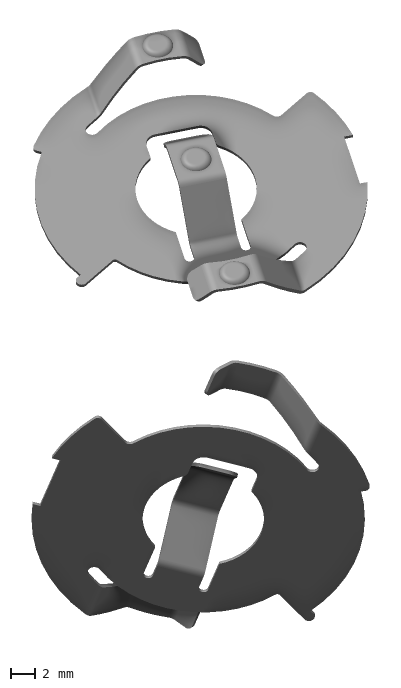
import cadquery as cq
import math

LAYOUT_ANGLE = 30.0

THICKNESS = 0.3
OUTER_RADIUS = 14.145
STEPPED_RADIUS = 13.3
BODY_RADIUS = 10.1
BEYOND = 2 * OUTER_RADIUS

FIN_ANGLE = 34.0
STEP_START_ANGLE = 148.3
STEP_END_ANGLE = 210.0
FIN_TIP_FILLET = 0.4
FIN_ROOT_FILLET = 0.5
HOOK_ROOT_FILLET = 0.25
STEP_CORNER_FILLET = 0.4
HOOK_TIP_FILLET = 0.45

NOTCH_FLOOR = 13.2
NOTCH_TOP = 2.37
NOTCH_BOTTOM = -2.85

SPRING_INNER_RADIUS = 11.2
SLOT_END_ANGLE = 129.0

CONTACT_TOP = 4.0
ROOT_RUN = 6.0
LEG_BEND_RUN = 1.65
TIP_BEND_RUN = 1.71
TIP_RUN = 3.66
LEG_ANGLE = math.radians(45.0)
TIP_ANGLE = math.radians(43.0)
TOP_BEND_RADIUS = 1.0
MIDDLE_TIP_CORNER_RADIUS = 1.0
OUTER_TIP_CORNER_RADIUS = 0.6

MIDDLE_SPRING_WIDTH = 4.0
WINDOW_RADIUS = 5.0
SIDE_SLOT_WIDTH = 0.8
SIDE_SLOT_END = 7.5
SIDE_SLOT_END_FILLET = 0.39
WINDOW_HALF_WIDTH = MIDDLE_SPRING_WIDTH / 2 + SIDE_SLOT_WIDTH
WINDOW_TOP = 6.5
WINDOW_CORNER_RADIUS = 1.0
WINDOW_MOUTH_FILLET = 0.5

BUTTON_RADIUS = 1.27
BUTTON_FLAT_RADIUS = 0.76
BUTTON_HEIGHT = 0.3


def polar(radius, angle):
    turn = math.radians(angle)
    return radius * math.cos(turn), radius * math.sin(turn)


def ring_sector(inner, outer, start, end):
    """Sheet-thick piece of a ring between two angles."""
    middle = (start + end) / 2
    return (
        cq.Workplane("XY")
        .moveTo(*polar(inner, start))
        .lineTo(*polar(outer, start))
        .threePointArc(polar(outer, middle), polar(outer, end))
        .lineTo(*polar(inner, end))
        .threePointArc(polar(inner, middle), polar(inner, start))
        .close()
        .extrude(THICKNESS)
    )


def block(x_min, x_max, y_min, y_max):
    """Sheet-thick rectangle."""
    rectangle = cq.Workplane("XY").box(x_max - x_min, y_max - y_min, THICKNESS, centered=False)
    return rectangle.translate((x_min, y_min, 0))


def half_turn(shape):
    return shape.rotate((0, 0, 0), (0, 0, 1), 180)


def fillet_corner(shape, point, radius):
    """Round the upright edge nearest to a point in plan."""
    corner = cq.NearestToPointSelector((point[0], point[1], THICKNESS / 2))
    return shape.edges("|Z").edges(corner).fillet(radius)


def outer_spring_opening():
    """Open gap around an outer spring, with the round-ended slot beside its root."""
    slot_width = SPRING_INNER_RADIUS - BODY_RADIUS
    gap = ring_sector(BODY_RADIUS, BEYOND, FIN_ANGLE, SLOT_END_ANGLE)
    gap = gap.intersect(block(-ROOT_RUN, BEYOND, 0, BEYOND))
    slot = ring_sector(BODY_RADIUS, SPRING_INNER_RADIUS, FIN_ANGLE, SLOT_END_ANGLE)
    slot_end = (
        cq.Workplane("XY")
        .center(*polar(BODY_RADIUS + slot_width / 2, SLOT_END_ANGLE))
        .circle(slot_width / 2)
        .extrude(THICKNESS)
    )
    return gap.union(slot).union(slot_end)


def window():
    """Opening around the middle spring: circle, upper recess and two side slots."""
    opening = cq.Workplane("XY").circle(WINDOW_RADIUS).extrude(THICKNESS)
    recess = block(-WINDOW_HALF_WIDTH, WINDOW_HALF_WIDTH, 0, WINDOW_TOP)
    recess = recess.edges("|Z and >Y").fillet(WINDOW_CORNER_RADIUS)
    opening = opening.union(recess)
    half_tongue = MIDDLE_SPRING_WIDTH / 2
    tongue = block(-half_tongue, half_tongue, -BEYOND, -ROOT_RUN)
    side_slots = block(-WINDOW_HALF_WIDTH, WINDOW_HALF_WIDTH, -SIDE_SLOT_END, 0).cut(tongue)
    side_slots = side_slots.edges("|Z and <Y").fillet(SIDE_SLOT_END_FILLET)
    return opening.union(side_slots)


def make_plate():
    plate = cq.Workplane("XY").circle(OUTER_RADIUS).extrude(THICKNESS)
    opening = outer_spring_opening()
    plate = plate.cut(opening).cut(half_turn(opening))
    plate = plate.cut(ring_sector(STEPPED_RADIUS, BEYOND, STEP_START_ANGLE, STEP_END_ANGLE))
    plate = plate.cut(block(NOTCH_FLOOR, BEYOND, NOTCH_BOTTOM, NOTCH_TOP))
    plate = plate.cut(window())

    hook_angle = FIN_ANGLE + 180
    mouth_y = math.sqrt(WINDOW_RADIUS**2 - WINDOW_HALF_WIDTH**2)
    rounded_corners = [
        (polar(OUTER_RADIUS, FIN_ANGLE), FIN_TIP_FILLET),
        (polar(BODY_RADIUS, FIN_ANGLE), FIN_ROOT_FILLET),
        (polar(BODY_RADIUS, hook_angle), HOOK_ROOT_FILLET),
        (polar(OUTER_RADIUS, hook_angle), HOOK_TIP_FILLET),
        (polar(OUTER_RADIUS, STEP_END_ANGLE), HOOK_TIP_FILLET),
        (polar(OUTER_RADIUS, STEP_START_ANGLE), STEP_CORNER_FILLET),
        ((WINDOW_HALF_WIDTH, mouth_y), WINDOW_MOUTH_FILLET),
    ]
    for point, radius in rounded_corners:
        plate = fillet_corner(plate, point, radius)
    return plate


def spring_strip(half_width):
    """Bent strip running along X, rising from its root to the flat top and down to its tip."""
    inner_bend = TOP_BEND_RADIUS - THICKNESS
    bend_z = CONTACT_TOP - TOP_BEND_RADIUS
    leg_bend_tangent = math.tan(LEG_ANGLE / 2)
    leg_rise_run = (CONTACT_TOP - THICKNESS) / math.tan(LEG_ANGLE)
    leg_foot = LEG_BEND_RUN + TOP_BEND_RADIUS * leg_bend_tangent + leg_rise_run
    root_upper = (ROOT_RUN - leg_foot) / leg_bend_tangent
    root_lower = root_upper + THICKNESS
    root_z = THICKNESS + root_upper

    def root_bend(radius, angle):
        return -ROOT_RUN + radius * math.sin(angle), root_z - radius * math.cos(angle)

    def leg_bend(radius, angle):
        return -LEG_BEND_RUN - radius * math.sin(angle), bend_z + radius * math.cos(angle)

    def tip_bend(radius, angle):
        return TIP_BEND_RUN + radius * math.sin(angle), bend_z + radius * math.cos(angle)

    tip_bend_end = tip_bend(TOP_BEND_RADIUS, TIP_ANGLE)
    tip_drop = (TIP_RUN - tip_bend_end[0]) * math.tan(TIP_ANGLE)
    tip_upper = (TIP_RUN, tip_bend_end[1] - tip_drop)
    tip_lower = (
        tip_upper[0] - THICKNESS * math.sin(TIP_ANGLE),
        tip_upper[1] - THICKNESS * math.cos(TIP_ANGLE),
    )
    half_leg = LEG_ANGLE / 2
    half_tip = TIP_ANGLE / 2
    return (
        cq.Workplane("XZ")
        .moveTo(-ROOT_RUN, 0)
        .threePointArc(root_bend(root_lower, half_leg), root_bend(root_lower, LEG_ANGLE))
        .lineTo(*leg_bend(inner_bend, LEG_ANGLE))
        .threePointArc(leg_bend(inner_bend, half_leg), leg_bend(inner_bend, 0))
        .lineTo(*tip_bend(inner_bend, 0))
        .threePointArc(tip_bend(inner_bend, half_tip), tip_bend(inner_bend, TIP_ANGLE))
        .lineTo(*tip_lower)
        .lineTo(*tip_upper)
        .lineTo(*tip_bend_end)
        .threePointArc(tip_bend(TOP_BEND_RADIUS, half_tip), tip_bend(TOP_BEND_RADIUS, 0))
        .lineTo(*leg_bend(TOP_BEND_RADIUS, 0))
        .threePointArc(leg_bend(TOP_BEND_RADIUS, half_leg), leg_bend(TOP_BEND_RADIUS, LEG_ANGLE))
        .lineTo(*root_bend(root_upper, LEG_ANGLE))
        .threePointArc(root_bend(root_upper, half_leg), (-ROOT_RUN, THICKNESS))
        .close()
        .extrude(half_width, both=True)
    )


def round_tip(strip, radius):
    """Round both corners of the strip's end face, through the sheet."""
    end_face = strip.faces(">X")
    return end_face.edges("not |Y").fillet(radius)


def button():
    """Round contact with a flat top, its side an arc tangent to the top."""
    step = BUTTON_RADIUS - BUTTON_FLAT_RADIUS
    side_radius = (step**2 + BUTTON_HEIGHT**2) / (2 * BUTTON_HEIGHT)
    half_angle = math.asin(step / side_radius) / 2
    base = CONTACT_TOP - THICKNESS / 2
    top = CONTACT_TOP + BUTTON_HEIGHT
    side_middle = (
        BUTTON_FLAT_RADIUS + side_radius * math.sin(half_angle),
        top - side_radius * (1 - math.cos(half_angle)),
    )
    return (
        cq.Workplane("XZ")
        .moveTo(0, base)
        .lineTo(BUTTON_RADIUS, base)
        .lineTo(BUTTON_RADIUS, CONTACT_TOP)
        .threePointArc(side_middle, (BUTTON_FLAT_RADIUS, top))
        .lineTo(0, top)
        .close()
        .revolve(360, (0, 0, 0), (0, 1, 0))
    )


def middle_spring():
    strip = round_tip(spring_strip(MIDDLE_SPRING_WIDTH / 2), MIDDLE_TIP_CORNER_RADIUS)
    return strip.union(button()).rotate((0, 0, 0), (0, 0, 1), 90)


def outer_spring():
    """Strip whose long edges follow the rim and the arc slot."""
    contact_y = (OUTER_RADIUS + SPRING_INNER_RADIUS) / 2
    strip = spring_strip(OUTER_RADIUS / 2).translate((0, contact_y, 0))
    band = (
        cq.Workplane("XY")
        .circle(OUTER_RADIUS)
        .circle(SPRING_INNER_RADIUS)
        .extrude(CONTACT_TOP)
    )
    strip = round_tip(strip.intersect(band), OUTER_TIP_CORNER_RADIUS)
    return strip.union(button().translate((0, contact_y, 0)))


side_spring = outer_spring()
part = make_plate().union(middle_spring()).union(side_spring).union(half_turn(side_spring))
result = part.rotate((0, 0, 0), (0, 0, 1), LAYOUT_ANGLE)